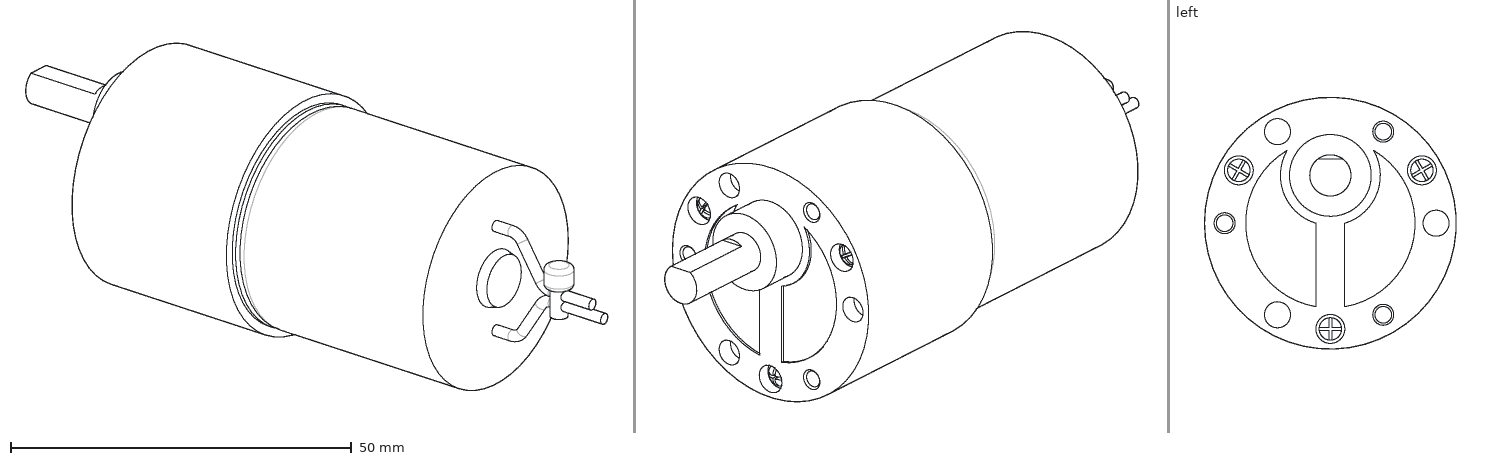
import cadquery as cq
import math

overall_length = 106.2

boss_face_x = 15.0
gearbox_face_x = 21.0
gearbox_end_x = 50.0
motor_face_x = 50.7
motor_end_x = 85.8

gearbox_radius = 18.5
motor_radius = 17.1
neck_radius = motor_radius
motor_edge_round = 1.6

bearing_length = 1.6
bearing_base_radius = 4.5
bearing_tip_radius = 4.0

shaft_offset = 7.0
shaft_radius = 6.1 / 2
boss_radius = 12.0 / 2
flat_length = 12.0
flat_depth = 0.58

relief_radius = 12.4
relief_depth = 0.4
web_width = 4.1
boss_pad_radius = 7.3

bolt_circle_radius = 15.5
holes_per_set = 3
hole_spacing = 360 / holes_per_set
pin_hole_angle = 60
pin_hole_diameter = 3.8
pin_hole_depth = 2.7
tapped_hole_angle = 0
tapped_hole_diameter = 2.4
tapped_hole_chamfer = 0.3
tapped_hole_depth = 6.4
drill_tip_angle = 118
screw_angle = 30
screw_pocket_diameter = 4.2
screw_pocket_depth = 2.0
screw_head_diameter = 3.3
screw_head_height = 1.3
screw_dome_height = 0.8
screw_slot_width = 0.4
screw_slot_depth = 1.1

wire_radius = 0.8
wire_run_z = 0.83
wire_exit_z = 8.4
wire_bend_start_x = 88.8
wire_bend_radius = 2.4
wire_slope_angle = 57
upper_wire_end_x = 104.0

capacitor_x = 97.7
stem_radius = 2.7 / 2
stem_bottom_z = -2.8
cap_radius = 2.2
cap_bottom_z = 1.8
cap_top_z = 5.4
cap_round = 0.7


def rod(start_x, end_x, radius, z=0.0):
    """Cylinder parallel to the X axis."""
    return cq.Workplane("YZ", origin=(start_x, 0, z)).circle(radius).extrude(end_x - start_x)


def make_housing():
    gearbox = rod(gearbox_face_x, gearbox_end_x, gearbox_radius)
    neck = rod(gearbox_end_x, motor_face_x, neck_radius)
    motor = rod(motor_face_x, motor_end_x, motor_radius).faces("<X").edges().fillet(motor_edge_round)
    bearing = (
        cq.Workplane("YZ", origin=(motor_end_x, 0, 0))
        .circle(bearing_base_radius)
        .workplane(offset=bearing_length)
        .circle(bearing_tip_radius)
        .loft()
    )
    return gearbox.union(neck).union(motor).union(bearing)


def make_output_shaft():
    boss = rod(boss_face_x, gearbox_face_x + relief_depth, boss_radius, shaft_offset)
    shaft = rod(0, boss_face_x, shaft_radius, shaft_offset)
    flat_z = shaft_offset + shaft_radius - flat_depth
    flat = cq.Workplane("XY", origin=(0, 0, flat_z)).box(
        flat_length, 2 * shaft_radius, 2 * flat_depth, centered=(False, True, False)
    )
    return boss.union(shaft.cut(flat))


def make_face_relief():
    relief_floor_x = gearbox_face_x + relief_depth
    disc = rod(gearbox_face_x, relief_floor_x, relief_radius)
    pad = rod(gearbox_face_x, relief_floor_x, boss_pad_radius, shaft_offset)
    web = cq.Workplane("XY", origin=(gearbox_face_x, 0, -relief_radius)).box(
        relief_depth, web_width, relief_radius, centered=(False, True, False)
    )
    return disc.cut(pad).cut(web)


def on_bolt_circle(feature, first_angle):
    """Copy a feature built along X, with its mouth at the origin, to one set of face positions."""
    placed = feature.translate((gearbox_face_x, bolt_circle_radius, 0))
    copies = cq.Workplane("XY")
    for index in range(holes_per_set):
        angle = first_angle + index * hole_spacing
        copies = copies.union(placed.rotate((0, 0, 0), (1, 0, 0), angle))
    return copies


def make_tapped_hole():
    """Drilled hole with a chamfered mouth and a conical bottom."""
    radius = tapped_hole_diameter / 2
    tip_length = radius / math.tan(math.radians(drill_tip_angle / 2))
    return (
        cq.Workplane("XY")
        .polyline([
            (0, 0),
            (0, radius + tapped_hole_chamfer),
            (tapped_hole_chamfer, radius),
            (tapped_hole_depth, radius),
            (tapped_hole_depth + tip_length, 0),
        ])
        .close()
        .revolve(360, (0, 0, 0), (1, 0, 0))
    )


def make_screw_pocket():
    """Round pocket that leaves a domed, cross-slotted screw head standing on its floor."""
    pocket = rod(0, screw_pocket_depth, screw_pocket_diameter / 2)
    head_radius = screw_head_diameter / 2
    crown_x = screw_pocket_depth - screw_head_height
    rim_x = crown_x + screw_dome_height
    sphere_radius = (head_radius**2 + screw_dome_height**2) / (2 * screw_dome_height)
    head = rod(crown_x, screw_pocket_depth, head_radius)
    sphere = cq.Workplane("XY").sphere(sphere_radius).translate((crown_x + sphere_radius, 0, 0))
    dome = head.intersect(sphere)
    shank = rod(rim_x, screw_pocket_depth, head_radius)
    slot = cq.Workplane("XY", origin=(crown_x, 0, 0)).box(
        screw_slot_depth, screw_head_diameter, screw_slot_width, centered=(False, True, True)
    )
    cross = slot.union(slot.rotate((0, 0, 0), (1, 0, 0), 90))
    return pocket.cut(dome.union(shank).cut(cross))


def make_wire(side, end_x):
    """Wire with two opposite bends; side is +1 for the upper wire and -1 for the lower one."""
    slope = math.radians(wire_slope_angle)
    bend_run = wire_bend_radius * math.sin(slope)
    bend_drop = wire_bend_radius * (1 - math.cos(slope))
    half_run = wire_bend_radius * math.sin(slope / 2)
    half_drop = wire_bend_radius * (1 - math.cos(slope / 2))
    slant_drop = wire_exit_z - wire_run_z - 2 * bend_drop
    slant_run = slant_drop / math.tan(slope)

    slant_start = (wire_bend_start_x + bend_run, wire_exit_z - bend_drop)
    slant_end = (slant_start[0] + slant_run, slant_start[1] - slant_drop)
    straight_start = (slant_end[0] + bend_run, wire_run_z)
    first_middle = (wire_bend_start_x + half_run, wire_exit_z - half_drop)
    second_middle = (straight_start[0] - half_run, wire_run_z + half_drop)

    def on_side(point):
        return (point[0], side * point[1])

    path = (
        cq.Workplane("XZ")
        .moveTo(motor_end_x, side * wire_exit_z)
        .lineTo(wire_bend_start_x, side * wire_exit_z)
        .threePointArc(on_side(first_middle), on_side(slant_start))
        .lineTo(*on_side(slant_end))
        .threePointArc(on_side(second_middle), on_side(straight_start))
        .lineTo(end_x, side * wire_run_z)
    )
    profile = cq.Workplane("YZ", origin=(motor_end_x, 0, side * wire_exit_z)).circle(wire_radius)
    return profile.sweep(path)


def make_capacitor():
    stem = cq.Workplane("XY", origin=(capacitor_x, 0, stem_bottom_z))
    stem = stem.circle(stem_radius).extrude(cap_top_z - cap_round - stem_bottom_z)
    cap = cq.Workplane("XY", origin=(capacitor_x, 0, cap_bottom_z))
    cap = cap.circle(cap_radius).extrude(cap_top_z - cap_bottom_z)
    cap = cap.faces("<Z or >Z").edges().fillet(cap_round)
    return stem.union(cap)


pin_hole = rod(0, pin_hole_depth, pin_hole_diameter / 2)

result = (
    make_housing()
    .cut(make_face_relief())
    .cut(on_bolt_circle(pin_hole, pin_hole_angle))
    .cut(on_bolt_circle(make_tapped_hole(), tapped_hole_angle))
    .cut(on_bolt_circle(make_screw_pocket(), screw_angle))
    .union(make_output_shaft())
    .union(make_wire(1, upper_wire_end_x))
    .union(make_wire(-1, overall_length))
    .union(make_capacitor())
)